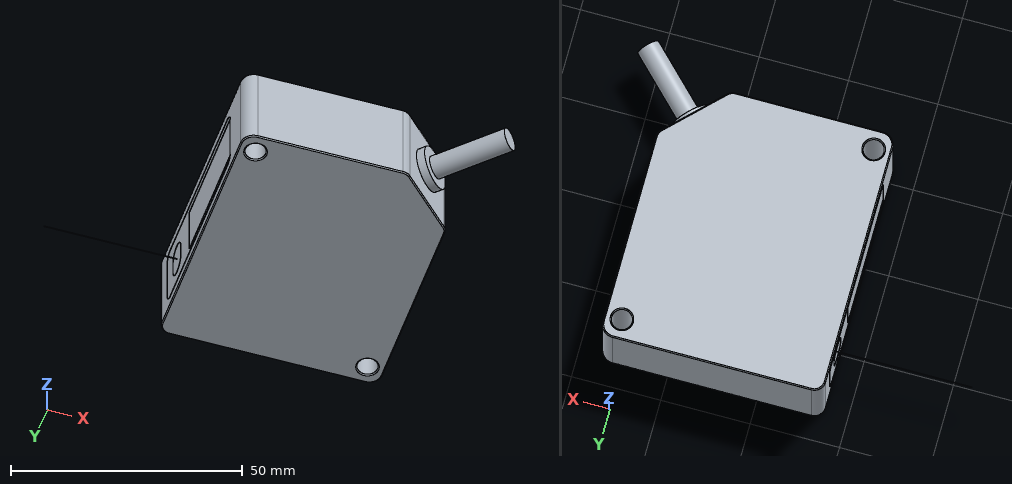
import cadquery as cq
import math

LENGTH_X = 49.95
DEPTH_Y = 60.0
HEIGHT_Z = 20.4
CORNER_CUT = 13.0
CORNER_RADIUS = 2.95
BACK_LEFT_RADIUS = 2.5
CUT_RADIUS = 2.5
RIM_CHAMFER = 0.3

HOLE_DIAMETER = 4.6
HOLE_CHAMFER = 0.3
HOLE_INSET_X = 3.85
HOLE_INSET_Y = 4.4

WINDOW_RECESS = 0.1
PANE_RECESS = 0.2
WINDOW_LENGTH = 43.5
WINDOW_HEIGHT = 14.95
WINDOW_RADIUS = 2.0
WINDOW_BACK_INSET = 6.2
RECEIVER_LENGTH = 28.6
RECEIVER_HEIGHT = 11.8
EMITTER_WIDTH = 5.4
EMITTER_HEIGHT = 8.4

BEAM_BACK_INSET = 12.5
BEAM_LENGTH = 30.0
BEAM_DIAMETER = 0.2

COLLAR_DIAMETER = 10.0
COLLAR_LENGTH = 2.0
CABLE_DIAMETER = 5.3
CABLE_LENGTH = 20.05

EMBED = 0.9

BEAM_Y = DEPTH_Y - BEAM_BACK_INSET
WINDOW_BACK_Y = DEPTH_Y - WINDOW_BACK_INSET
WINDOW_FRONT_Y = WINDOW_BACK_Y - WINDOW_LENGTH


def round_upright_edge(body, x, y, radius):
    """Fillet the vertical edge nearest to the point (x, y)."""
    edge = body.edges("|Z").edges(cq.selectors.NearestToPointSelector((x, y, 0)))
    return edge.fillet(radius)


def make_housing():
    outline = [
        (0, 0),
        (LENGTH_X - CORNER_CUT, 0),
        (LENGTH_X, CORNER_CUT),
        (LENGTH_X, DEPTH_Y),
        (0, DEPTH_Y),
    ]
    radii = [CORNER_RADIUS, CUT_RADIUS, CUT_RADIUS, CORNER_RADIUS, BACK_LEFT_RADIUS]
    body = cq.Workplane("XY").polyline(outline).close().extrude(HEIGHT_Z / 2, both=True)
    for (x, y), radius in zip(outline, radii):
        body = round_upright_edge(body, x, y, radius)
    return body.faces("|Z").edges().chamfer(RIM_CHAMFER)


def cut_mounting_holes(body):
    centers = [
        (HOLE_INSET_X, HOLE_INSET_Y),
        (LENGTH_X - HOLE_INSET_X, DEPTH_Y - HOLE_INSET_Y),
    ]
    rim_diameter = HOLE_DIAMETER + 2 * HOLE_CHAMFER
    hole = cq.Workplane("XY").circle(HOLE_DIAMETER / 2).extrude(HEIGHT_Z / 2)
    rim = (
        cq.Workplane("XY", origin=(0, 0, HEIGHT_Z / 2))
        .circle(rim_diameter / 2)
        .extrude(-HOLE_CHAMFER, taper=45)
    )
    upper_half = hole.union(rim)
    cutter = upper_half.union(upper_half.mirror("XY"))
    for x, y in centers:
        body = body.cut(cutter.translate((x, y, 0)))
    return body


def face_block(center_y, length, height, depth):
    """Block reaching from the -X face into the housing."""
    block = cq.Workplane("XY").box(depth, length, height, centered=(False, True, True))
    return block.translate((0, center_y, 0))


def cut_window(body):
    window_y = (WINDOW_FRONT_Y + WINDOW_BACK_Y) / 2
    window = face_block(window_y, WINDOW_LENGTH, WINDOW_HEIGHT, PANE_RECESS)
    window = window.edges("|X").fillet(WINDOW_RADIUS)

    receiver_y = WINDOW_FRONT_Y + RECEIVER_LENGTH / 2
    receiver = face_block(receiver_y, RECEIVER_LENGTH, RECEIVER_HEIGHT, PANE_RECESS).intersect(window)
    emitter = (
        cq.Workplane("YZ", origin=(0, BEAM_Y, 0))
        .slot2D(EMITTER_HEIGHT, EMITTER_WIDTH, 90)
        .extrude(PANE_RECESS)
    )
    skin = face_block(DEPTH_Y / 2, DEPTH_Y, HEIGHT_Z, WINDOW_RECESS)
    return body.cut(window.intersect(skin)).cut(receiver).cut(emitter)


def make_beam():
    return (
        cq.Workplane("YZ", origin=(-BEAM_LENGTH, BEAM_Y, 0))
        .circle(BEAM_DIAMETER / 2)
        .extrude(BEAM_LENGTH + EMBED)
    )


def make_cable():
    inward = EMBED * math.sqrt(0.5)
    start = cq.Plane(
        origin=(LENGTH_X - CORNER_CUT / 2 - inward, CORNER_CUT / 2 + inward, 0),
        xDir=(0, 0, 1),
        normal=(1, -1, 0),
    )
    collar = cq.Workplane(start).circle(COLLAR_DIAMETER / 2).extrude(EMBED + COLLAR_LENGTH)
    cable = cq.Workplane(start).circle(CABLE_DIAMETER / 2).extrude(EMBED + CABLE_LENGTH)
    return collar.union(cable)


housing = cut_window(cut_mounting_holes(make_housing()))
result = housing.union(make_beam()).union(make_cable())